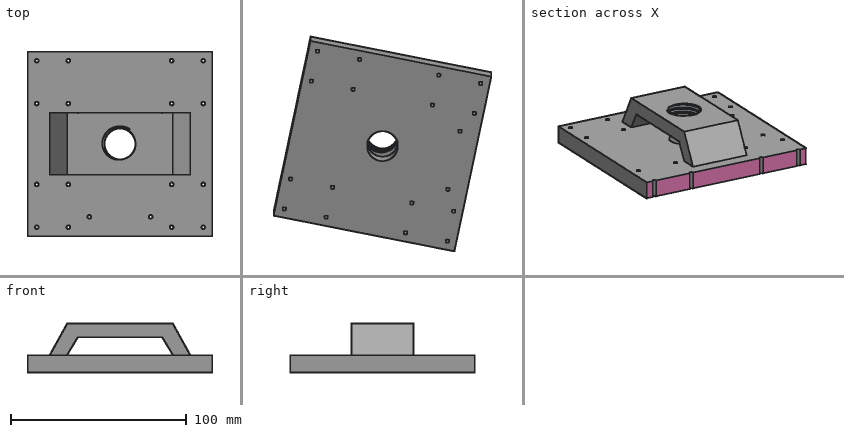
import cadquery as cq
import math

PLATE_SIDE = 105.0
PLATE_THICKNESS = 10.0

TOTAL_HEIGHT = 28.0
BRIDGE_HEIGHT = TOTAL_HEIGHT - PLATE_THICKNESS
BRIDGE_WIDTH = 35.3
BRIDGE_FOOT_LENGTH = 80.0
BRIDGE_TOP_LENGTH = 60.1
BRIDGE_DECK_THICKNESS = 8.0
OPENING_FOOT_LENGTH = 60.1
OPENING_TOP_LENGTH = 48.0

BORE_DIAMETER = 17.5
THREAD_MAJOR_DIAMETER = 20.3
THREAD_PITCH = 2.5
THREAD_ROOT_FLAT = THREAD_PITCH / 8
THREAD_FLANK_ANGLE = 30.0
THREAD_TOP_ANGLE = 160.0
THREAD_OVERLAP = 0.2

SCREW_HOLE_DIAMETER = 2.0
OUTER_HOLE_OFFSET = 47.4
INNER_HOLE_X = 29.4
INNER_HOLE_Y = 23.0
FRONT_PAIR_X = 17.4
FRONT_PAIR_Y = -41.5


def make_plate():
    return cq.Workplane("XY").box(
        PLATE_SIDE, PLATE_SIDE, PLATE_THICKNESS, centered=(True, True, False)
    )


def trapezoid_block(foot_length, top_length, height):
    """Symmetric trapezoid in XZ on the plate top, extruded over the bridge width."""
    return (
        cq.Workplane("XZ", origin=(0, 0, PLATE_THICKNESS))
        .polyline([
            (-foot_length / 2, 0),
            (foot_length / 2, 0),
            (top_length / 2, height),
            (-top_length / 2, height),
        ])
        .close()
        .extrude(BRIDGE_WIDTH / 2, both=True)
    )


def make_bridge():
    outside = trapezoid_block(BRIDGE_FOOT_LENGTH, BRIDGE_TOP_LENGTH, BRIDGE_HEIGHT)
    opening = trapezoid_block(
        OPENING_FOOT_LENGTH, OPENING_TOP_LENGTH, BRIDGE_HEIGHT - BRIDGE_DECK_THICKNESS
    )
    return outside.cut(opening)


def make_thread_groove():
    """Right-hand helical V groove that runs out past both faces of the deck."""
    turns_below = math.ceil(BRIDGE_DECK_THICKNESS / THREAD_PITCH) + 1
    turns_above = 1
    start_z = TOTAL_HEIGHT - turns_below * THREAD_PITCH
    length = (turns_below + turns_above) * THREAD_PITCH

    root_radius = THREAD_MAJOR_DIAMETER / 2
    mouth_radius = BORE_DIAMETER / 2 - THREAD_OVERLAP
    root_half = THREAD_ROOT_FLAT / 2
    flank_rise = (root_radius - mouth_radius) * math.tan(math.radians(THREAD_FLANK_ANGLE))
    mouth_half = root_half + flank_rise

    section = [
        (mouth_radius, -mouth_half),
        (root_radius, -root_half),
        (root_radius, root_half),
        (mouth_radius, mouth_half),
    ]

    def end_face(z):
        corners = [cq.Vector(radius, 0, height + z) for radius, height in section]
        return cq.Face.makeFromWires(cq.Wire.makePolygon(corners, close=True))

    helices = [
        cq.Wire.makeHelix(THREAD_PITCH, length, radius).translate(cq.Vector(0, 0, height))
        for radius, height in section
    ]
    faces = [end_face(0), end_face(length)]
    for index, helix in enumerate(helices):
        faces.append(cq.Face.makeRuledSurface(helices[index - 1], helix))
    groove = cq.Workplane(obj=cq.Solid.makeSolid(cq.Shell.makeShell(faces)))
    return groove.rotate((0, 0, 0), (0, 0, 1), THREAD_TOP_ANGLE).translate((0, 0, start_z))


def screw_hole_centres():
    centres = []
    for side_x in (-1, 1):
        for x in (INNER_HOLE_X, OUTER_HOLE_OFFSET):
            for y in (INNER_HOLE_Y, OUTER_HOLE_OFFSET):
                centres.append((side_x * x, y))
                centres.append((side_x * x, -y))
        centres.append((side_x * FRONT_PAIR_X, FRONT_PAIR_Y))
    return centres


def make_screw_holes():
    return (
        cq.Workplane("XY")
        .pushPoints(screw_hole_centres())
        .circle(SCREW_HOLE_DIAMETER / 2)
        .extrude(PLATE_THICKNESS)
    )


bore = cq.Workplane("XY").circle(BORE_DIAMETER / 2).extrude(TOTAL_HEIGHT)
threaded_bridge = make_bridge().cut(make_thread_groove()).cut(bore)
drilled_plate = make_plate().cut(bore).cut(make_screw_holes())
result = drilled_plate.union(threaded_bridge)